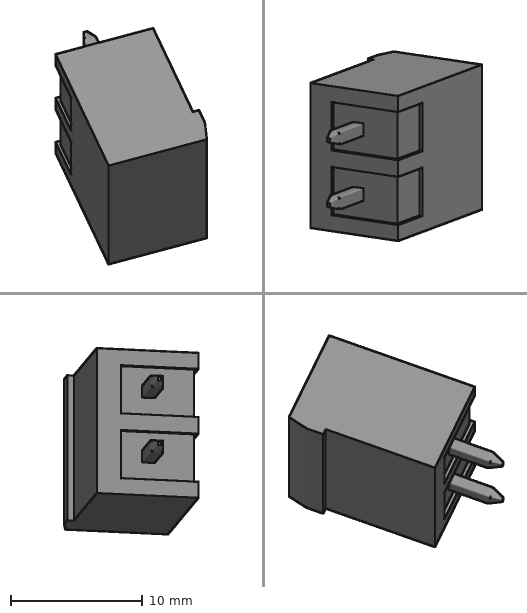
import cadquery as cq
import math

total_length = 15.9
total_depth = 8.38
height = 11.35

pin_projection = 3.9
ridge_height = 0.5
ridge_length = 3.0
ridge_flat_length = 1.37
ridge_end_height = 0.06
housing_depth = total_depth - ridge_height
ridge_start = total_length - ridge_length

pitch = 5.07
contact_heights = [height / 2 - pitch / 2, height / 2 + pitch / 2]

pocket_height = 3.77
pocket_length = 3.51
pocket_width = 6.0
pocket_end_depth = 0.32
pocket_side_depth = 0.27

pin_width = 1.0
pin_edge_radius = 0.1
pin_center_y = 3.8
tip_length = 0.86
tip_angle = math.radians(20)
shoulder_length = 0.32
shoulder_radius = shoulder_length / math.sin(tip_angle)
shoulder_width = pin_width - 2 * shoulder_radius * (1 - math.cos(tip_angle))
tip_width = shoulder_width - 2 * tip_length * math.tan(tip_angle)
tip_corner_radius = 0.008
pin_root = pin_projection + pocket_end_depth


def make_housing():
    """Block with a ramped latch ridge along its +Y side."""
    return (
        cq.Workplane("XY")
        .moveTo(pin_projection, 0)
        .lineTo(total_length, 0)
        .lineTo(total_length, housing_depth + ridge_end_height)
        .lineTo(ridge_start + ridge_flat_length, total_depth)
        .lineTo(ridge_start, total_depth)
        .lineTo(ridge_start, housing_depth)
        .lineTo(pin_projection, housing_depth)
        .close()
        .extrude(height)
    )


def make_pocket(center_z):
    """L-shaped shallow cut wrapping the corner of the -X and -Y faces."""
    return (
        cq.Workplane("XY", origin=(pin_projection, 0, center_z))
        .moveTo(0, 0)
        .lineTo(pocket_length, 0)
        .lineTo(pocket_length, pocket_side_depth)
        .lineTo(pocket_end_depth, pocket_side_depth)
        .lineTo(pocket_end_depth, pocket_width)
        .lineTo(0, pocket_width)
        .close()
        .extrude(pocket_height / 2, both=True)
    )


def make_shank_profile(center_z):
    """Shank slab with a shoulder arc at its front, running tangent from shank to tip slope."""
    shoulder_end = tip_length + shoulder_length
    half_root = pin_width / 2
    half_front = shoulder_width / 2
    arc_mid_x = shoulder_end - shoulder_radius * math.sin(tip_angle / 2)
    arc_mid_z = half_root - shoulder_radius * (1 - math.cos(tip_angle / 2))
    return (
        cq.Workplane("XZ", origin=(0, pin_center_y, center_z))
        .moveTo(tip_length, half_front)
        .threePointArc((arc_mid_x, arc_mid_z), (shoulder_end, half_root))
        .lineTo(pin_root, half_root)
        .lineTo(pin_root, -half_root)
        .lineTo(shoulder_end, -half_root)
        .threePointArc((arc_mid_x, -arc_mid_z), (tip_length, -half_front))
        .close()
        .extrude(pin_width / 2, both=True)
    )


def make_shank(center_z):
    """Square shank narrowing at the shoulder on all four sides, with rounded long edges."""
    upright = make_shank_profile(center_z)
    axis_start = (0, pin_center_y, center_z)
    axis_end = (1, pin_center_y, center_z)
    sideways = upright.rotate(axis_start, axis_end, 90)
    long_edges = "not(<X or >X or #X)"
    return upright.intersect(sideways).edges(long_edges).fillet(pin_edge_radius)


def rounded_square(width, corner_radius):
    """Square sketch with all four corners rounded."""
    return cq.Sketch().rect(width, width).vertices().fillet(corner_radius)


def make_tip(center_z):
    """Pyramid tip whose rounded corners fade toward the blunt end."""
    blunt_end = rounded_square(tip_width, tip_corner_radius)
    base = rounded_square(shoulder_width, pin_edge_radius)
    return (
        cq.Workplane("YZ", origin=(0, pin_center_y, center_z))
        .placeSketch(blunt_end, base.moved(cq.Location(cq.Vector(0, 0, tip_length))))
        .loft(ruled=True)
    )


def make_pin(center_z):
    """Complete contact pin along X."""
    return make_shank(center_z).union(make_tip(center_z))


result = make_housing()
for contact_z in contact_heights:
    result = result.cut(make_pocket(contact_z))
for contact_z in contact_heights:
    result = result.union(make_pin(contact_z))